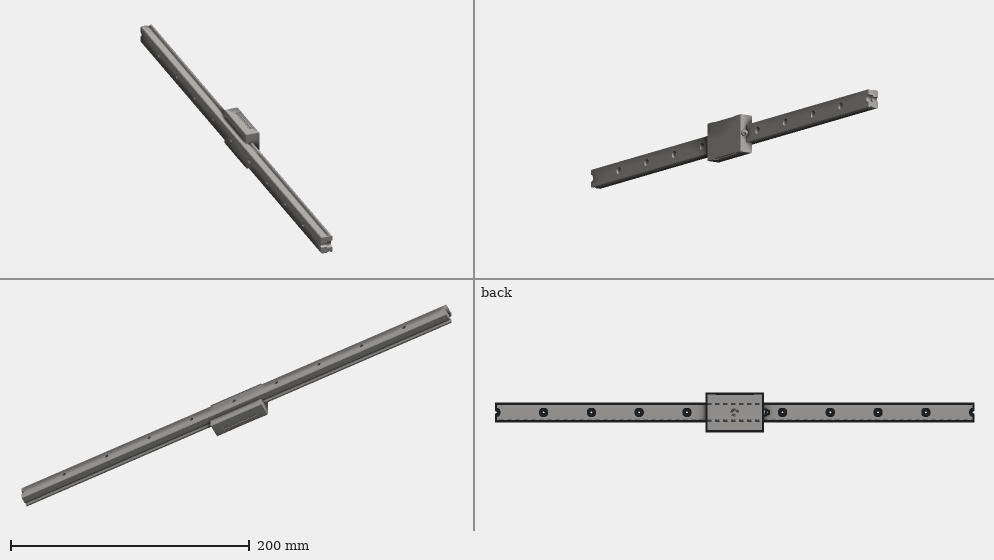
import cadquery as cq

RAIL_LENGTH = 400.0
RAIL_WIDTH = 15.0
RAIL_HEIGHT = 10.0
BASE_CHAMFER = 0.6
HEAD_CHAMFER = 0.5

GROOVE_DEPTH = 1.0
GROOVE_START = 5.0
GROOVE_BOTTOM = 7.0
GROOVE_END = 8.5

HOLE_PITCH = 40.0
HOLE_COUNT = 11
HOLE_DIAMETER = 3.5
COUNTERBORE_DIAMETER = 6.0
COUNTERBORE_DEPTH = 5.0

CARRIAGE_LENGTH = 47.5
CARRIAGE_WIDTH = 32.0
CARRIAGE_BASE = 4.0
CARRIAGE_TOP = 16.0
CARRIAGE_CHAMFER = 0.5

MARK_LENGTH = 31.0
MARK_DEPTH = 0.6
MARK_BOTTOM = 10.0
RIB_BOTTOM = 12.5
RIB_TOP = 13.0

NIPPLE_HEIGHT = 13.0
FLANGE_DIAMETER = 5.0
FLANGE_LENGTH = 2.5
HEAD_DIAMETER = 4.0
HEAD_LENGTH = 2.5
TIP_DIAMETER = 2.5


def rail_bar():
    """The grooved and chamfered bar of the rail, without its holes."""
    half = RAIL_WIDTH / 2
    upper_side = [
        (0, half - BASE_CHAMFER),
        (BASE_CHAMFER, half),
        (GROOVE_START, half),
        (GROOVE_BOTTOM, half - GROOVE_DEPTH),
        (GROOVE_END, half),
        (RAIL_HEIGHT - HEAD_CHAMFER, half),
        (RAIL_HEIGHT, half - HEAD_CHAMFER),
    ]
    lower_side = [(y, -z) for y, z in reversed(upper_side)]
    outline = cq.Workplane("YZ").polyline(upper_side + lower_side).close()
    return outline.extrude(RAIL_LENGTH / 2, both=True)


def rail_hole(x):
    """A through hole along Y with its counterbore in the top of the rail."""
    top = cq.Workplane("XZ", origin=(x, RAIL_HEIGHT, 0))
    through = top.circle(HOLE_DIAMETER / 2).extrude(RAIL_HEIGHT)
    counterbore = top.circle(COUNTERBORE_DIAMETER / 2).extrude(COUNTERBORE_DEPTH)
    return through.union(counterbore)


def make_rail():
    rail = rail_bar()
    first_x = -HOLE_PITCH * (HOLE_COUNT - 1) / 2
    for i in range(HOLE_COUNT):
        rail = rail.cut(rail_hole(first_x + i * HOLE_PITCH))
    return rail


def carriage_block():
    """The carriage block with chamfered long edges, fitted around the rail."""
    height = CARRIAGE_TOP - CARRIAGE_BASE
    block = cq.Workplane("XY").box(CARRIAGE_LENGTH, height, CARRIAGE_WIDTH)
    block = block.edges("|X").chamfer(CARRIAGE_CHAMFER)
    block = block.translate((0, CARRIAGE_BASE + height / 2, 0))
    return block.cut(rail_bar())


def side_groove(side, bottom, top):
    """A shallow groove between two heights in the +Z (side = 1) or -Z (side = -1) face."""
    groove = cq.Workplane("XY").box(MARK_LENGTH, top - bottom, 2 * MARK_DEPTH)
    return groove.translate((0, (bottom + top) / 2, side * CARRIAGE_WIDTH / 2))


def grease_nipple():
    """A round flange on the carriage end with a tapered head."""
    end = cq.Workplane("YZ", origin=(-CARRIAGE_LENGTH / 2, NIPPLE_HEIGHT, 0))
    flange = end.circle(FLANGE_DIAMETER / 2).extrude(-FLANGE_LENGTH)
    head_base = end.workplane(offset=-FLANGE_LENGTH).circle(HEAD_DIAMETER / 2)
    head = head_base.workplane(offset=-HEAD_LENGTH).circle(TIP_DIAMETER / 2).loft()
    return flange.union(head)


def make_carriage():
    carriage = carriage_block()
    for side in (-1, 1):
        carriage = carriage.cut(side_groove(side, MARK_BOTTOM, RIB_BOTTOM))
        carriage = carriage.cut(side_groove(side, RIB_TOP, CARRIAGE_TOP))
    return carriage.union(grease_nipple())


rail = make_rail()
carriage = make_carriage()
result = cq.Compound.makeCompound([rail.val(), carriage.val()])